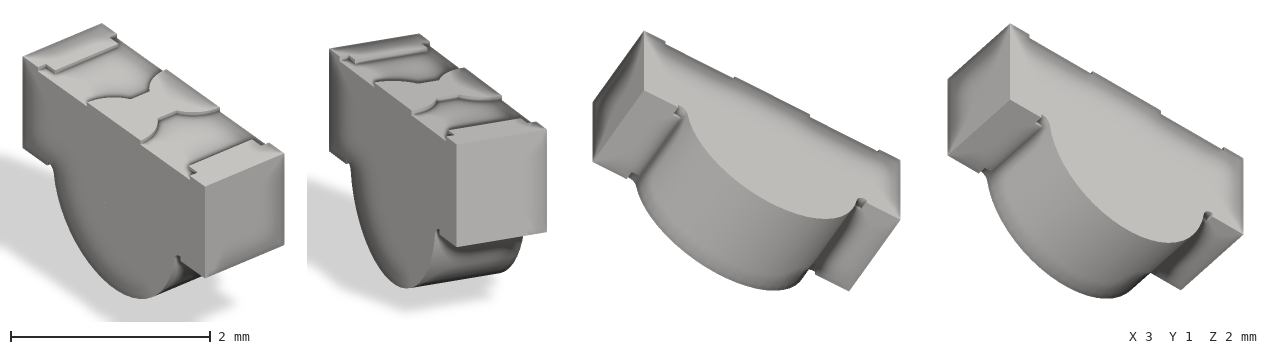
import cadquery as cq
import math


LENGTH = 3.0
WIDTH = 1.0
BOARD_HEIGHT = 1.0
PLATING = 0.05

TOP_REACH = 0.25
BOTTOM_REACH = 0.4
TONGUE_LENGTH = 0.15
TONGUE_INSET = 0.1

PAD_RADIUS = 0.44
PAD_NECK_WIDTH = 0.44

MARK_BASE_OFFSET = 0.51
MARK_LENGTH = 0.66
MARK_WIDTH = 0.8
MARK_DEPTH = 0.05

LENS_RADIUS = 1.0
LENS_CENTRE_Z = 0.05
FLARE_RADIUS = 0.1

BOARD_LENGTH = LENGTH - 2 * PLATING


def block(x_min, x_max, width, z_min, z_max):
    """Box between the given X and Z limits, centred on Y."""
    return (
        cq.Workplane("XY", origin=((x_min + x_max) / 2, 0, z_min))
        .box(x_max - x_min, width, z_max - z_min, centered=(True, True, False))
    )


def make_mark():
    """Triangle pointing to +X, with its top face level with the board top."""
    base_x = -LENGTH / 2 + MARK_BASE_OFFSET
    return (
        cq.Workplane("XY", origin=(0, 0, BOARD_HEIGHT))
        .moveTo(base_x, -MARK_WIDTH / 2)
        .lineTo(base_x + MARK_LENGTH, 0)
        .lineTo(base_x, MARK_WIDTH / 2)
        .close()
        .extrude(-MARK_DEPTH)
    )


def make_board(mark):
    """Plain block with a recess that holds the mark."""
    half_length = BOARD_LENGTH / 2
    return block(-half_length, half_length, WIDTH, 0, BOARD_HEIGHT).cut(mark)


def make_lens():
    """Round lens whose two flares are tangent to the board underside and to the lens circle."""
    centre_distance = LENS_RADIUS + FLARE_RADIUS
    flare_drop = LENS_CENTRE_Z + FLARE_RADIUS
    flare_x = math.sqrt(centre_distance**2 - flare_drop**2)

    flare_sweep = math.acos(flare_drop / centre_distance)
    join_x = flare_x - FLARE_RADIUS * math.sin(flare_sweep)
    join_z = -FLARE_RADIUS + FLARE_RADIUS * math.cos(flare_sweep)
    mid_x = flare_x - FLARE_RADIUS * math.sin(flare_sweep / 2)
    mid_z = -FLARE_RADIUS + FLARE_RADIUS * math.cos(flare_sweep / 2)

    return (
        cq.Workplane("XZ")
        .moveTo(-flare_x, 0)
        .threePointArc((-mid_x, mid_z), (-join_x, join_z))
        .threePointArc((0, LENS_CENTRE_Z - LENS_RADIUS), (join_x, join_z))
        .threePointArc((mid_x, mid_z), (flare_x, 0))
        .close()
        .extrude(WIDTH / 2, both=True)
    )


def make_left_terminal(lens):
    """C-shaped clip around the -X end, with a narrower tongue on its top and bottom arms."""
    end_x = -LENGTH / 2
    top_z = BOARD_HEIGHT + PLATING
    tongue_width = WIDTH - 2 * TONGUE_INSET

    terminal = block(end_x, end_x + PLATING, WIDTH, -PLATING, top_z)
    arms = [(TOP_REACH, BOARD_HEIGHT, top_z), (BOTTOM_REACH, -PLATING, 0)]
    for reach, z_min, z_max in arms:
        tongue_end = end_x + reach + TONGUE_LENGTH
        terminal = terminal.union(block(end_x, end_x + reach, WIDTH, z_min, z_max))
        terminal = terminal.union(block(end_x, tongue_end, tongue_width, z_min, z_max))

    return terminal.cut(lens)


def make_pad():
    """Hourglass pad on the board top."""
    edge_y = WIDTH / 2
    neck_x = PAD_NECK_WIDTH / 2
    top_z = BOARD_HEIGHT + PLATING
    discs = (
        cq.Workplane("XY", origin=(0, 0, BOARD_HEIGHT))
        .pushPoints([(0, -edge_y), (0, edge_y)])
        .circle(PAD_RADIUS)
        .extrude(PLATING)
    )
    neck = block(-neck_x, neck_x, WIDTH, BOARD_HEIGHT, top_z)
    footprint = block(-PAD_RADIUS, PAD_RADIUS, WIDTH, BOARD_HEIGHT, top_z)
    return neck.union(discs).intersect(footprint)


mark = make_mark()
board = make_board(mark)
lens = make_lens()
pad = make_pad()
left_terminal = make_left_terminal(lens)
right_terminal = left_terminal.mirror("YZ")

result = cq.Compound.makeCompound(
    [board.val(), mark.val(), lens.val(), pad.val(), left_terminal.val(), right_terminal.val()]
)